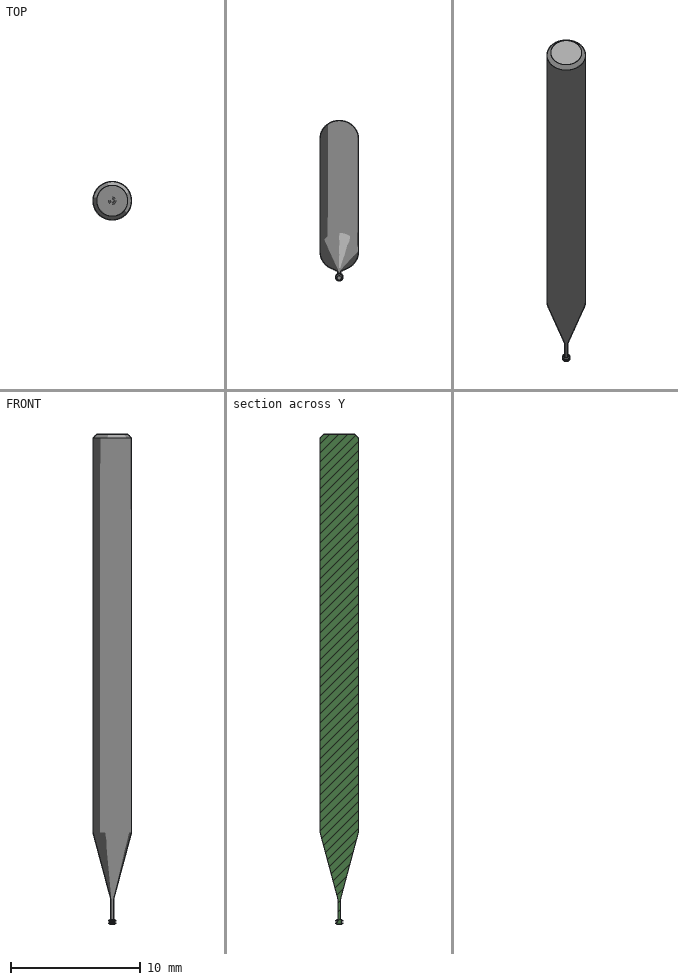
import cadquery as cq
import math

total_length = 38.0
shank_diameter = 3.0
shank_chamfer = 0.3

taper_half_angle = math.radians(15)
neck_diameter = 0.25
neck_top_z = 1.98
neck_blend_radius = 1.0

head_diameter = 0.57
head_root_diameter = 0.34
tooth_count = 2
tooth_pitch = 0.2
flank_angle = math.radians(30)
root_width = 0.03

shank_radius = shank_diameter / 2
neck_radius = neck_diameter / 2
head_radius = head_diameter / 2
root_radius = head_root_diameter / 2

flank_height = (head_radius - root_radius) * math.tan(flank_angle)
tooth_height = tooth_pitch - root_width

shank_bottom_z = neck_top_z + (shank_radius - neck_radius) / math.tan(taper_half_angle)

blend_bottom_z = neck_top_z - neck_blend_radius * math.tan(taper_half_angle / 2)
blend_center_radius = neck_radius + neck_blend_radius


def blend_point(angle):
    """Point on the neck blend, at an angle measured up from its neck end."""
    return (
        blend_center_radius - neck_blend_radius * math.cos(angle),
        blend_bottom_z + neck_blend_radius * math.sin(angle),
    )


def add_tooth(outline, bottom_z):
    """Extend the outline around one ring tooth, from its lower root to its upper root."""
    top_z = bottom_z + tooth_height
    return (
        outline.lineTo(root_radius, bottom_z)
        .lineTo(head_radius, bottom_z + flank_height)
        .lineTo(head_radius, top_z - flank_height)
        .lineTo(root_radius, top_z)
    )


def add_head(outline):
    """Extend the outline up the cutting head and in to the neck."""
    for tooth in range(tooth_count):
        outline = add_tooth(outline, tooth * tooth_pitch)
    head_top_z = (tooth_count - 1) * tooth_pitch + tooth_height
    return outline.lineTo(neck_radius, head_top_z)


def add_neck_and_taper(outline):
    """Extend the outline up the neck, around the blend and up the taper."""
    return (
        outline.lineTo(*blend_point(0))
        .threePointArc(blend_point(taper_half_angle / 2), blend_point(taper_half_angle))
        .lineTo(shank_radius, shank_bottom_z)
    )


def add_shank(outline):
    """Extend the outline up the shank and across its chamfered end to the axis."""
    return (
        outline.lineTo(shank_radius, total_length - shank_chamfer)
        .lineTo(shank_radius - shank_chamfer, total_length)
        .lineTo(0, total_length)
    )


outline = cq.Workplane("XZ").moveTo(0, 0)
outline = add_head(outline)
outline = add_neck_and_taper(outline)
outline = add_shank(outline)
result = outline.close().revolve(360, (0, 0, 0), (0, 1, 0))